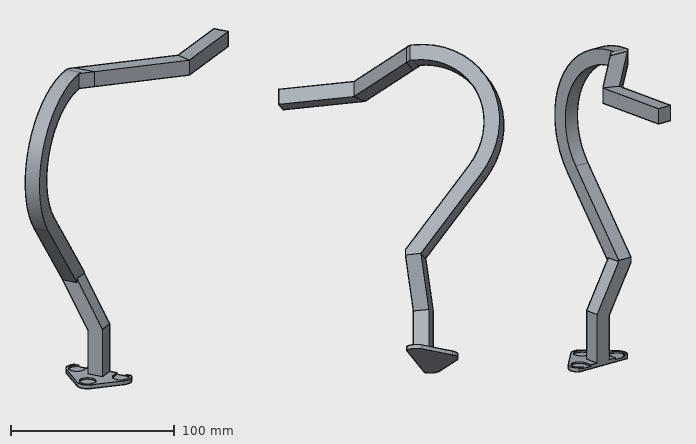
import cadquery as cq
import math

height = 198.4
bar = 10.0
half_bar = bar / 2

plate_thickness = 2.5
hole_spacing = 15.0
plate_corner_radius = 6.7
recess_diameter = 10.1
recess_depth = 1.0

post_shift = 17.5
post_bend_z = 32.5
post_lean = math.radians(30)

hook_outer_radius = 55.0
arm_shift = 50.0
arm_end_y = 95.0
arm_angle = math.radians(45)

axis_x = half_bar
axis_y = -half_bar
post_x = axis_x + post_shift
post_miter = half_bar * math.tan(post_lean / 2)
elbow_z = post_bend_z - post_miter + post_shift / math.tan(post_lean)
arm_miter = half_bar * math.tan(arm_angle / 2)


def make_plate():
    """Rounded triangular base plate with three blind round recesses, cut flat at the back.

    The two rear recesses are squared out to the back edge on the side nearest the post.
    """
    centers = [
        (post_x - hole_spacing, axis_y),
        (post_x + hole_spacing, axis_y),
        (post_x, axis_y - hole_spacing),
    ]
    plate = cq.Workplane("XY").polyline(centers).close().offset2D(plate_corner_radius)
    plate = plate.extrude(plate_thickness)
    recess_radius = recess_diameter / 2
    behind_post = cq.Workplane("XY").box(height, height, height, centered=(True, False, True))
    recesses = (
        cq.Workplane("XY", origin=(0, 0, plate_thickness - recess_depth))
        .pushPoints(centers)
        .circle(recess_radius)
        .extrude(recess_depth)
    )
    for side in (-1, 1):
        notch = (
            cq.Workplane("XY", origin=(0, 0, plate_thickness - recess_depth))
            .center(post_x + side * (hole_spacing - recess_radius / 2), axis_y / 2)
            .rect(recess_radius, half_bar)
            .extrude(recess_depth)
        )
        recesses = recesses.union(notch)
    return plate.cut(behind_post).cut(recesses)


def make_post():
    """Upright bar that leans sideways to meet the hook's elbow."""
    return (
        cq.Workplane("XZ")
        .moveTo(post_x - half_bar, plate_thickness)
        .lineTo(post_x + half_bar, plate_thickness)
        .lineTo(post_x + half_bar, post_bend_z + post_miter)
        .lineTo(bar, elbow_z + 2 * post_miter)
        .lineTo(bar, elbow_z)
        .lineTo(0, elbow_z)
        .lineTo(post_x - half_bar, post_bend_z - post_miter)
        .close()
        .extrude(bar)
    )


def make_hook_curve():
    """Slanted bar from the elbow, tangent to an arc that ends level at the top."""
    center_z = height - hook_outer_radius
    inner_radius = hook_outer_radius - bar

    rise = center_z - elbow_z
    lean = math.asin(hook_outer_radius / math.hypot(rise, half_bar)) - math.atan(half_bar / rise)
    elbow_miter = half_bar * math.tan(lean / 2)

    def arc_point(radius, angle):
        return axis_y - radius * math.cos(angle), center_z + radius * math.sin(angle)

    middle = (math.pi / 2 - lean) / 2
    return (
        cq.Workplane("YZ")
        .moveTo(0, elbow_z)
        .lineTo(-bar, elbow_z)
        .lineTo(*arc_point(hook_outer_radius, -lean))
        .threePointArc(arc_point(hook_outer_radius, middle), (axis_y, height))
        .lineTo(axis_y, height - bar)
        .threePointArc(arc_point(inner_radius, middle), arc_point(inner_radius, -lean))
        .lineTo(0, elbow_z + 2 * elbow_miter)
        .close()
        .extrude(bar)
    )


def level_bar(points):
    """Flat bar at the top of the part with the given outline."""
    return cq.Workplane("XY", origin=(0, 0, height - bar)).polyline(points).close().extrude(bar)


joint_left = (-(axis_y + arm_miter) / math.tan(arm_angle), 0)
joint_right = (bar - (axis_y - arm_miter) / math.tan(arm_angle), 0)


def make_neck():
    """Short start of the oblique bar, ending at the joint plane."""
    return level_bar([
        (0, axis_y),
        (0, axis_y + arm_miter),
        joint_left,
        joint_right,
        (bar, axis_y - arm_miter),
        (bar, axis_y),
    ])


bend_y = axis_y + arm_shift * math.tan(arm_angle)
bend_left = (arm_shift, bend_y + arm_miter)
bend_right = (arm_shift + bar, bend_y - arm_miter)


def make_oblique_bar():
    """Oblique bar from the joint plane to the mitred bend."""
    return level_bar([joint_left, bend_left, bend_right, joint_right])


def make_arm():
    """Straight arm from the mitred bend to its free end."""
    return level_bar([
        bend_left,
        (arm_shift, arm_end_y),
        (arm_shift + bar, arm_end_y),
        bend_right,
    ])


stand = make_plate().union(make_post()).union(make_hook_curve()).union(make_neck())
oblique_bar = make_oblique_bar()
arm = make_arm()

result = cq.Compound.makeCompound([stand.solids().val(), oblique_bar.val(), arm.val()])